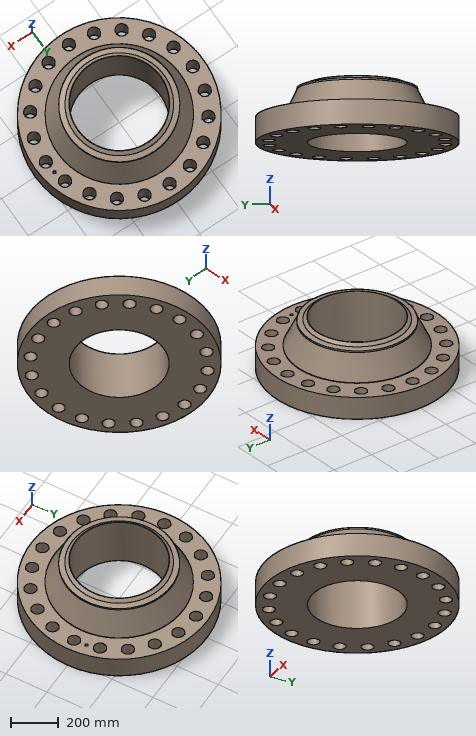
import cadquery as cq
import math

flange_diameter = 857.0
flange_thickness = 107.0
bore_diameter = 420.0

overall_height = 248.0
hub_base_diameter = 624.0
hub_top_diameter = 509.0
hub_base_step = 2.5
hub_taper_top = 224.0
hub_band_top = 231.0

bevel_base_diameter = 457.0
bevel_base_height = 236.0
land_diameter = 423.0

bolt_count = 20
bolt_circle_diameter = 749.0
bolt_hole_diameter = 55.0

pin_hole_diameter = 13.0
pin_hole_depth = 13.0
bolt_pitch = 360 / bolt_count
pin_angle = math.radians(bolt_pitch / 2)


def revolved_body():
    """Flange, hub and weld bevel as one ring around the Z axis."""
    profile = [
        (bore_diameter / 2, 0),
        (flange_diameter / 2, 0),
        (flange_diameter / 2, flange_thickness),
        (hub_base_diameter / 2, flange_thickness),
        (hub_base_diameter / 2, flange_thickness + hub_base_step),
        (hub_top_diameter / 2, hub_taper_top),
        (hub_top_diameter / 2, hub_band_top),
        (bevel_base_diameter / 2, bevel_base_height),
        (land_diameter / 2, overall_height),
        (bore_diameter / 2, overall_height),
    ]
    return cq.Workplane("XZ").polyline(profile).close().revolve(360, (0, 0), (0, 1))


def bolt_holes():
    """Through holes evenly spaced on the bolt circle."""
    return (
        cq.Workplane("XY")
        .polarArray(bolt_circle_diameter / 2, 0, 360, bolt_count)
        .circle(bolt_hole_diameter / 2)
        .extrude(flange_thickness)
    )


def pin_hole():
    """Blind hole sunk from the upper face of the flange."""
    radius = bolt_circle_diameter / 2
    return (
        cq.Workplane("XY", origin=(0, 0, flange_thickness))
        .center(radius * math.cos(pin_angle), radius * math.sin(pin_angle))
        .circle(pin_hole_diameter / 2)
        .extrude(-pin_hole_depth)
    )


result = revolved_body().cut(bolt_holes()).cut(pin_hole())